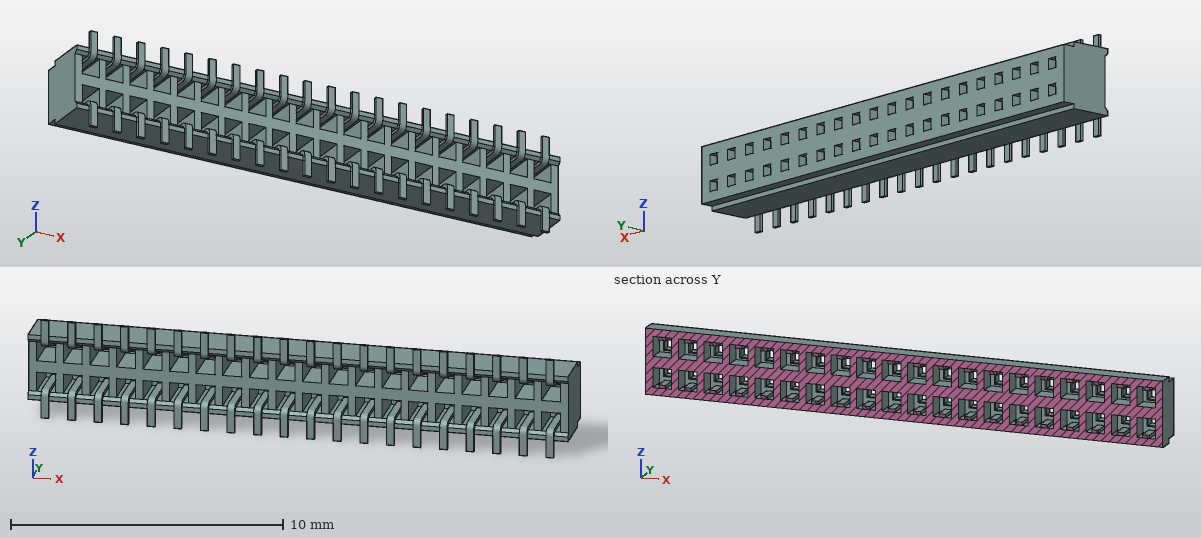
import cadquery as cq
import math

COLUMNS = 20
PITCH = 1.0

LENGTH = 20.32
HOUSING_HEIGHT = 2.55
LIP_HEIGHT = 0.18
LIP_CHAMFER = 0.12
REAR_DEPTH = 0.49
REAR_STEP = 0.18
TOTAL_DEPTH = 2.25

LEAD_THICKNESS = 0.12
LEAD_WIDTH = 0.28
LEAD_SPAN = 3.82

POCKET_WIDTH = 0.71
POCKET_INNER_Z = 0.22
OPENING_SIZE = 0.4
OPENING_CENTRE_Z = PITCH / 2

LIP_Y = LEAD_THICKNESS
FACE_Y = LIP_Y + LIP_CHAMFER
REAR_Y = TOTAL_DEPTH - REAR_DEPTH
CARRIER_BACK_Y = REAR_Y + LEAD_THICKNESS

HOUSING_TOP_Z = HOUSING_HEIGHT / 2
LIP_EDGE_Z = HOUSING_TOP_Z - LIP_HEIGHT
POCKET_OUTER_Z = LIP_EDGE_Z - LIP_CHAMFER
LEAD_TIP_Z = LEAD_SPAN / 2
REAR_TOP_Z = HOUSING_TOP_Z - REAR_STEP

CARRIER_LENGTH = (COLUMNS - 1) * PITCH + POCKET_WIDTH

COLUMN_X = [(i - (COLUMNS - 1) / 2) * PITCH for i in range(COLUMNS)]


def extrude_along_x(profile, width):
    """Extrude a closed YZ profile symmetrically about X = 0."""
    return profile.extrude(width / 2, both=True)


def box_between(width, y_start, y_end, z_start, z_end):
    """Box centred on X = 0 between the given depths and heights."""
    depth = y_end - y_start
    height = z_end - z_start
    centre = (0, (y_start + y_end) / 2, (z_start + z_end) / 2)
    return cq.Workplane("XY").box(width, depth, height).translate(centre)


def grid_copies(upper_shape):
    """Repeat an upper-row shape along its row and mirror it to the lower row."""
    rows = [upper_shape, upper_shape.mirror("XY")]
    return [row.translate((x, 0, 0)).val() for row in rows for x in COLUMN_X]


def make_opening():
    """Upper-row square opening running from the pocket floor out through the rear face."""
    half_opening = OPENING_SIZE / 2
    z_start = OPENING_CENTRE_Z - half_opening
    z_end = OPENING_CENTRE_Z + half_opening
    return box_between(OPENING_SIZE, REAR_Y, TOTAL_DEPTH, z_start, z_end)


def make_carrier_blank():
    """Solid plate that closes the floors of all the pockets."""
    return box_between(CARRIER_LENGTH, REAR_Y, CARRIER_BACK_Y, -POCKET_OUTER_Z, POCKET_OUTER_Z)


def make_housing():
    """Stepped block with chamfered front lips, pockets, openings and a carrier recess."""
    outline = (
        cq.Workplane("YZ")
        .moveTo(TOTAL_DEPTH, REAR_TOP_Z)
        .lineTo(REAR_Y, REAR_TOP_Z)
        .lineTo(REAR_Y, HOUSING_TOP_Z)
        .lineTo(LIP_Y, HOUSING_TOP_Z)
        .lineTo(LIP_Y, LIP_EDGE_Z)
        .lineTo(FACE_Y, POCKET_OUTER_Z)
        .lineTo(FACE_Y, -POCKET_OUTER_Z)
        .lineTo(LIP_Y, -LIP_EDGE_Z)
        .lineTo(LIP_Y, -HOUSING_TOP_Z)
        .lineTo(REAR_Y, -HOUSING_TOP_Z)
        .lineTo(REAR_Y, -REAR_TOP_Z)
        .lineTo(TOTAL_DEPTH, -REAR_TOP_Z)
        .close()
    )
    block = extrude_along_x(outline, LENGTH).cut(make_carrier_blank())
    pocket = box_between(POCKET_WIDTH, FACE_Y, REAR_Y, POCKET_INNER_Z, POCKET_OUTER_Z)
    cutters = grid_copies(pocket) + grid_copies(make_opening())
    return cq.Workplane(block.val().cut(*cutters)).solids()


def make_lead():
    """Upper-row lead: runs forward along the pocket wall, then bends up over the lip chamfer."""
    bend_radius = LIP_CHAMFER + LEAD_THICKNESS
    bend_offset = bend_radius * math.sqrt(0.5)
    bend_middle = (FACE_Y - bend_offset, LIP_EDGE_Z - bend_offset)
    inner_z = LIP_EDGE_Z - bend_radius
    profile = (
        cq.Workplane("YZ")
        .moveTo(REAR_Y, POCKET_OUTER_Z)
        .lineTo(FACE_Y, POCKET_OUTER_Z)
        .lineTo(LIP_Y, LIP_EDGE_Z)
        .lineTo(LIP_Y, LEAD_TIP_Z)
        .lineTo(0, LEAD_TIP_Z)
        .lineTo(0, LIP_EDGE_Z)
        .threePointArc(bend_middle, (FACE_Y, inner_z))
        .lineTo(REAR_Y, inner_z)
        .close()
    )
    return extrude_along_x(profile, LEAD_WIDTH)


def make_contacts():
    """Carrier plate with a square opening and a bent lead at every contact."""
    plate = make_carrier_blank().val().cut(*grid_copies(make_opening()))
    return cq.Workplane(plate.fuse(*grid_copies(make_lead()))).solids()


housing = make_housing()
contacts = make_contacts()

result = cq.Compound.makeCompound([housing.val(), contacts.val()])